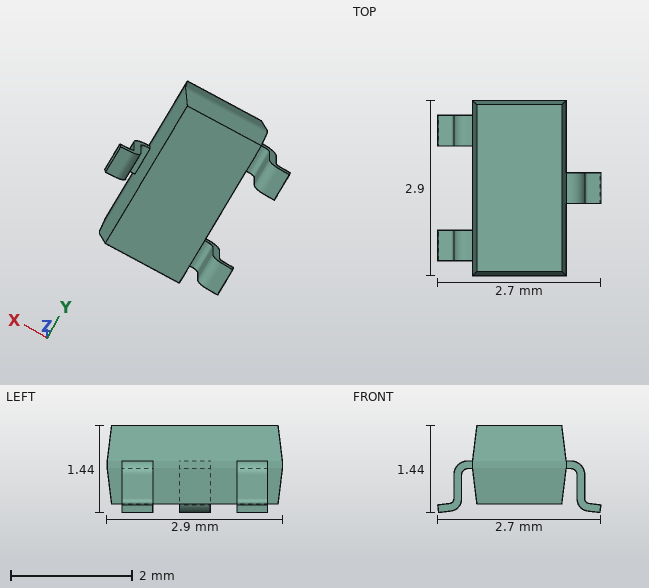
import cadquery as cq
import math

body_length = 2.9
body_width = 1.552
body_height = 1.3
body_bottom = 0.142
band_height = 0.115
taper_inset = 0.072

lead_span = 2.7
lead_width = 0.51
lead_thickness = 0.13
lead_pitch = 1.9
shank_reach = 0.307
shoulder_inner_radius = 0.102
ankle_inner_radius = 0.072
foot_angle = math.radians(7)

body_middle = body_bottom + body_height / 2
body_side = body_width / 2
taper_height = (body_height - band_height) / 2
taper_angle = math.degrees(math.atan(taper_inset / taper_height))


def make_body():
    """Block with a straight middle band and a tapered half on each side of it."""
    band = cq.Workplane("XY").box(body_width, body_length, band_height)
    upper_half = (
        cq.Workplane("XY")
        .workplane(offset=band_height / 2)
        .rect(body_width, body_length)
        .extrude(taper_height, taper=taper_angle)
    )
    lower_half = upper_half.mirror("XY")
    return band.union(upper_half).union(lower_half).translate((0, 0, body_middle))


def point_on_arc(center, radius, angle):
    return (center[0] + radius * math.cos(angle), center[1] + radius * math.sin(angle))


def make_lead():
    """Gull-wing lead on the +X side, centred on Y = 0."""
    shoulder_outer_radius = shoulder_inner_radius + lead_thickness
    ankle_outer_radius = ankle_inner_radius + lead_thickness
    lead_top = body_middle + lead_thickness / 2
    lead_underside = lead_top - lead_thickness
    shank_outer = body_side + shank_reach
    shank_inner = shank_outer - lead_thickness

    tip_upper = (lead_span / 2, lead_thickness * math.cos(foot_angle))
    tip_lower = (tip_upper[0] - lead_thickness * math.sin(foot_angle), 0)

    shoulder = (shank_outer - shoulder_outer_radius, lead_top - shoulder_outer_radius)
    shoulder_mid_angle = math.pi / 4
    ankle_x = shank_outer + ankle_inner_radius
    ankle_end_angle = 1.5 * math.pi - foot_angle
    ankle_mid_angle = (math.pi + ankle_end_angle) / 2
    foot_start_x = ankle_x + ankle_inner_radius * math.cos(ankle_end_angle)
    foot_start_z = tip_upper[1] + (tip_upper[0] - foot_start_x) * math.tan(foot_angle)
    ankle = (ankle_x, foot_start_z + ankle_inner_radius * math.cos(foot_angle))

    profile = (
        cq.Workplane("XZ")
        .moveTo(body_side, lead_top)
        .lineTo(shoulder[0], lead_top)
        .threePointArc(
            point_on_arc(shoulder, shoulder_outer_radius, shoulder_mid_angle),
            (shank_outer, shoulder[1]),
        )
        .lineTo(shank_outer, ankle[1])
        .threePointArc(
            point_on_arc(ankle, ankle_inner_radius, ankle_mid_angle),
            (foot_start_x, foot_start_z),
        )
        .lineTo(*tip_upper)
        .lineTo(*tip_lower)
        .lineTo(*point_on_arc(ankle, ankle_outer_radius, ankle_end_angle))
        .threePointArc(
            point_on_arc(ankle, ankle_outer_radius, ankle_mid_angle),
            (shank_inner, ankle[1]),
        )
        .lineTo(shank_inner, shoulder[1])
        .threePointArc(
            point_on_arc(shoulder, shoulder_inner_radius, shoulder_mid_angle),
            (shoulder[0], lead_underside),
        )
        .lineTo(body_side, lead_underside)
        .close()
    )
    return profile.extrude(lead_width / 2, both=True)


lead_places = [
    (0, 0),
    (180, lead_pitch / 2),
    (180, -lead_pitch / 2),
]

body = make_body()
leads = []
for turn, y in lead_places:
    lead = make_lead().rotate((0, 0, 0), (0, 0, 1), turn).translate((0, y, 0))
    leads.append(lead.val())

result = cq.Compound.makeCompound([body.val(), *leads])